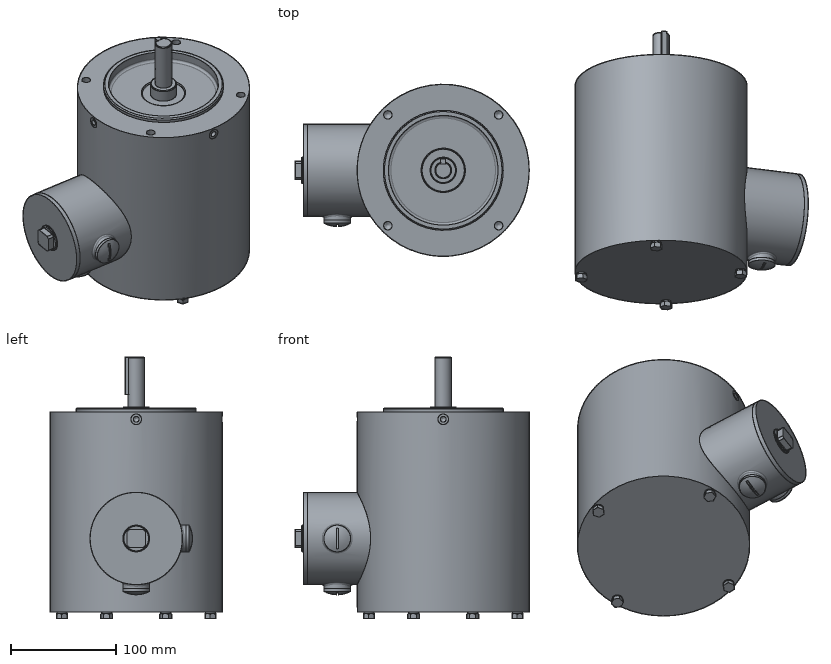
import cadquery as cq
import math


OVERLAP = 2.0

housing_radius = 82.0
housing_height = 190.5

pilot_radius = 114.3 / 2
pilot_height = 4.0
pilot_chamfer = 1.2
recess_radius = 52.2
recess_depth = 10.2
recess_fillet = 2.4
bearing_seat_radius = 21.1
bearing_seat_depth = 1.0
bearing_seat_taper = 45.0

shaft_radius = 15.875 / 2
shaft_length = 52.3
shaft_chamfer = 0.8
collar_radius = 12.5
collar_chamfer = 0.8
collar_rise = 0.8
key_size = 4.76
key_length = 35.8
key_top_to_shaft_bottom = 18.6

drill_point_angle = 118.0
mount_circle_radius = 149.2 / 2
mount_hole_count = 4
mount_hole_radius = 4.0
mount_hole_depth = 19.0
side_hole_radius = 2.7
side_hole_depth = 8.0
side_hole_drop = 7.0
spot_face_radius = 5.0
spot_face_depth = 0.2

bolt_circle_radius = 76.1
bolt_start_angle = -21.7
bolt_hex_angle = 17.7
bolt_count = 4
bolt_head_height = 6.3
bolt_flats = 10.0
bolt_hex_chamfer = 0.9
bolt_washer_radius = 4.9
bolt_washer_height = 1.4

box_radius = 44.0
box_axis_height = 70.0
box_end_x = -129.2
cover_thickness = 4.0
cover_radius = 43.9

plug_x = -100.9
plug_radius = 12.7
boss_fillet = 1.5
boss_reach = 47.5
plug_rim_reach = 50.3
plug_tip_reach = 53.6
slot_width = 1.9
slot_depth = 1.9

square_plug_flange_height = 1.9
square_plug_flange_chamfer = 0.9
square_plug_height = 7.8
square_plug_size = 17.3
square_plug_corner = 2.0

pilot_top = housing_height + pilot_height
recess_floor = pilot_top - recess_depth
collar_top = pilot_top + collar_rise
shaft_top = housing_height + shaft_length
cover_face_x = box_end_x - cover_thickness
key_outer_y = key_top_to_shaft_bottom - shaft_radius


def drilled_hole(radius, depth):
    """Round hole cutter going down from the origin, with a conical drill point."""
    point_height = radius / math.tan(math.radians(drill_point_angle / 2))
    return (
        cq.Workplane("XZ")
        .moveTo(0, OVERLAP)
        .lineTo(radius, OVERLAP)
        .lineTo(radius, -depth)
        .lineTo(0, -depth - point_height)
        .close()
        .revolve(360, (0, 0), (0, 1))
    )


def make_shell():
    """Housing cylinder with the pilot ring, the recessed face and the tapered bearing seat."""
    shell = cq.Workplane("XY").circle(housing_radius).extrude(housing_height)
    pilot = (
        cq.Workplane("XY", origin=(0, 0, housing_height - OVERLAP))
        .circle(pilot_radius)
        .extrude(pilot_height + OVERLAP)
        .faces(">Z")
        .chamfer(pilot_chamfer)
    )
    recess = (
        cq.Workplane("XY", origin=(0, 0, recess_floor))
        .circle(recess_radius)
        .extrude(recess_depth)
        .faces("<Z")
        .edges()
        .fillet(recess_fillet)
    )
    bearing_seat = (
        cq.Workplane("XY", origin=(0, 0, recess_floor))
        .circle(bearing_seat_radius)
        .extrude(-bearing_seat_depth, taper=bearing_seat_taper)
    )
    return shell.union(pilot).cut(recess).cut(bearing_seat)


def make_shaft():
    """Shaft and its collar, standing in the recess."""
    foot = recess_floor - bearing_seat_depth - OVERLAP
    collar = (
        cq.Workplane("XY", origin=(0, 0, foot))
        .circle(collar_radius)
        .extrude(collar_top - foot)
        .faces(">Z")
        .chamfer(collar_chamfer)
    )
    shaft = (
        cq.Workplane("XY", origin=(0, 0, foot))
        .circle(shaft_radius)
        .extrude(shaft_top - foot)
        .faces(">Z")
        .chamfer(shaft_chamfer)
    )
    return collar.union(shaft)


def make_key():
    """Square key on the +Y side of the shaft, flush with the shaft end."""
    return cq.Workplane("XY").box(key_size, key_size, key_length).translate(
        (0, key_outer_y - key_size / 2, shaft_top - key_length / 2)
    )


def make_bolt_heads():
    """Hexagon heads with round washer faces on a circle under the housing."""
    washer_face = (
        cq.Workplane("XY", origin=(0, 0, -bolt_washer_height - OVERLAP))
        .circle(bolt_washer_radius)
        .extrude(bolt_washer_height + 2 * OVERLAP)
    )
    hexagon_height = bolt_head_height - bolt_washer_height
    hexagon = (
        cq.Workplane("XY", origin=(0, 0, -bolt_head_height))
        .polygon(6, bolt_flats, circumscribed=True)
        .extrude(hexagon_height)
    )
    corner_radius = bolt_flats / math.sqrt(3)
    rounding = (
        cq.Workplane("XY", origin=(0, 0, -bolt_head_height))
        .circle(corner_radius)
        .extrude(hexagon_height)
        .faces(">Z")
        .chamfer(bolt_hex_chamfer, corner_radius - bolt_flats / 2)
    )
    hexagon = hexagon.intersect(rounding).rotate((0, 0, 0), (0, 0, 1), bolt_hex_angle)
    head = washer_face.union(hexagon)
    heads = cq.Workplane("XY")
    for i in range(bolt_count):
        angle = bolt_start_angle + i * 360 / bolt_count
        turned = head.rotate((0, 0, 0), (0, 0, 1), angle)
        heads = heads.union(
            turned.translate(
                (
                    bolt_circle_radius * math.cos(math.radians(angle)),
                    bolt_circle_radius * math.sin(math.radians(angle)),
                    0,
                )
            )
        )
    return heads


def mount_holes():
    """Blind holes around the pilot ring, halfway between the X and Y axes."""
    hole = drilled_hole(mount_hole_radius, mount_hole_depth)
    holes = cq.Workplane("XY")
    for i in range(mount_hole_count):
        angle = (i + 0.5) * 360 / mount_hole_count
        holes = holes.union(
            hole.translate((mount_circle_radius, 0, housing_height)).rotate((0, 0, 0), (0, 0, 1), angle)
        )
    return holes


def side_holes():
    """Spot-faced blind holes in the side wall, one facing -X and one facing -Y."""
    spot_face = cq.Workplane("XY").circle(spot_face_radius).extrude(OVERLAP)
    hole = drilled_hole(side_hole_radius, side_hole_depth).union(spot_face)
    facing_x = hole.rotate((0, 0, 0), (0, 1, 0), -90).translate(
        (spot_face_depth - housing_radius, 0, housing_height - side_hole_drop)
    )
    return facing_x.union(facing_x.rotate((0, 0, 0), (0, 0, 1), 90))


def on_box_underside(shape):
    """Moves a shape built downward from the box axis to its place along the box."""
    return shape.translate((plug_x, 0, box_axis_height))


def on_box_front(shape):
    """Turns a shape built downward from the box axis to the -Y side of the box."""
    return on_box_underside(shape.rotate((0, 0, 0), (1, 0, 0), -90))


def make_boss():
    """Round boss for a plug, built downward from the box axis."""
    return cq.Workplane("XY").circle(plug_radius).extrude(-boss_reach)


def make_slotted_plug():
    """Domed plug head with a screwdriver slot, built downward from the box axis."""
    dome_height = plug_tip_reach - plug_rim_reach
    dome_radius = (plug_radius**2 + dome_height**2) / (2 * dome_height)
    half_angle = math.asin(plug_radius / dome_radius) / 2
    dome_center = -plug_tip_reach + dome_radius
    head = (
        cq.Workplane("XZ")
        .moveTo(0, -boss_reach)
        .lineTo(plug_radius, -boss_reach)
        .lineTo(plug_radius, -plug_rim_reach)
        .threePointArc(
            (dome_radius * math.sin(half_angle), dome_center - dome_radius * math.cos(half_angle)),
            (0, -plug_tip_reach),
        )
        .close()
        .revolve(360, (0, 0), (0, 1))
    )
    slot = (
        cq.Workplane("XY", origin=(0, 0, -plug_tip_reach))
        .rect(slot_width, 2 * plug_radius)
        .extrude(slot_depth)
    )
    return head.cut(slot)


def make_box():
    """Junction box running into the housing, with a filleted boss for each slotted plug."""
    box = (
        cq.Workplane("YZ", origin=(box_end_x, 0, box_axis_height))
        .circle(box_radius)
        .extrude(-box_end_x)
    )
    boss = make_boss()
    box = box.union(on_box_underside(boss)).union(on_box_front(boss))
    return box.edges("%BSPLINE").fillet(boss_fillet)


def make_cover():
    """Flat round cover on the end of the junction box."""
    return (
        cq.Workplane("YZ", origin=(cover_face_x, 0, box_axis_height))
        .circle(cover_radius)
        .extrude(cover_thickness)
    )


def make_square_plug():
    """Plug with a round flange and a square head, on the cover."""
    face = cq.Workplane("YZ", origin=(cover_face_x, 0, box_axis_height))
    flange = (
        face.circle(plug_radius)
        .extrude(-square_plug_flange_height)
        .faces("<X")
        .chamfer(square_plug_flange_chamfer)
    )
    head = (
        face.rect(square_plug_size, square_plug_size)
        .extrude(-square_plug_height)
        .edges("|X")
        .chamfer(square_plug_corner)
    )
    return flange.union(head)


key = make_key()
housing = (
    make_shell()
    .union(make_box())
    .union(make_shaft())
    .union(make_bolt_heads())
    .cut(mount_holes())
    .cut(side_holes())
    .cut(key)
)
cover = make_cover()
square_plug = make_square_plug()
slotted_plugs = [place(make_slotted_plug()) for place in (on_box_underside, on_box_front)]

result = cq.Compound.makeCompound(
    [housing.val(), key.val(), cover.val(), square_plug.val(), *[plug.val() for plug in slotted_plugs]]
)